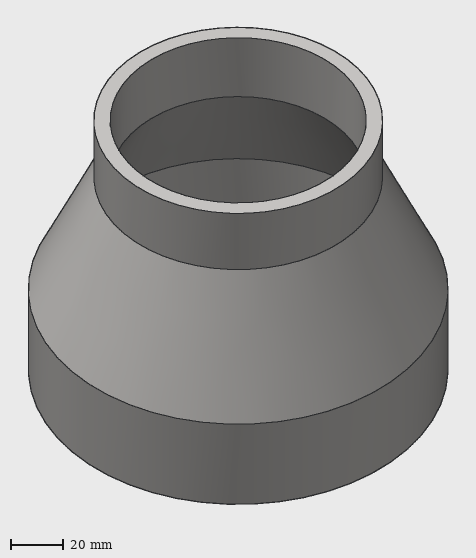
import math

import cadquery as cq

base_diameter = 160.0
neck_diameter = 110.0
base_wall = 9.1
neck_wall = 6.2
base_height = 40.0
cone_height = 56.0
neck_height = 28.0

base_radius = base_diameter / 2
neck_radius = neck_diameter / 2
cone_top = base_height + cone_height
total_height = cone_top + neck_height

cone_angle = math.atan((base_radius - neck_radius) / cone_height)
base_bore_radius = base_radius - base_wall
neck_bore_radius = neck_radius - neck_wall
bore_cone_top = cone_top - neck_wall * math.tan(cone_angle / 2)
bore_cone_height = (base_bore_radius - neck_bore_radius) / math.tan(cone_angle)
bore_cone_bottom = bore_cone_top - bore_cone_height


def stepped_solid(lower_radius, upper_radius, cone_start, cone_end):
    """Solid of revolution about Z: cylinder, cone, cylinder."""
    return (
        cq.Workplane("XZ")
        .moveTo(0, 0)
        .lineTo(lower_radius, 0)
        .lineTo(lower_radius, cone_start)
        .lineTo(upper_radius, cone_end)
        .lineTo(upper_radius, total_height)
        .lineTo(0, total_height)
        .close()
        .revolve(360, (0, 0, 0), (0, 1, 0))
    )


body = stepped_solid(base_radius, neck_radius, base_height, cone_top)
bore = stepped_solid(base_bore_radius, neck_bore_radius, bore_cone_bottom, bore_cone_top)

result = body.cut(bore)